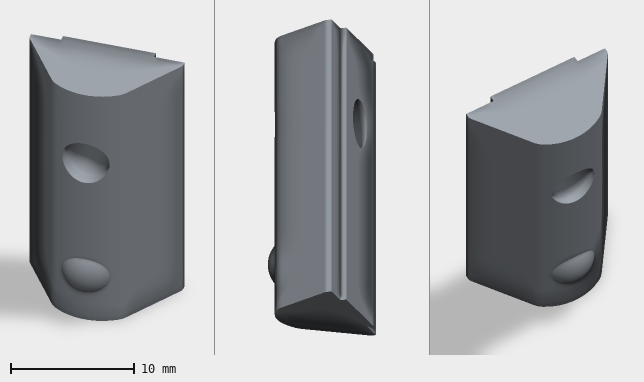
import cadquery as cq
import math

length = 23.0
width = 13.0
rail_width = 7.87
rail_height = 0.5
body_depth = 7.0
flank_start_depth = 1.0
flank_angle = math.radians(35)
nose_radius = 5.0
side_corner_radius = 0.5
nose_corner_radius = 2.0

hole_diameter = 4.0
hole_height = 16.0
overall_depth = 7.68
ball_radius = 2.4
ball_height = 4.5


def flank_nose_corner():
    """Return the point (half width, Y) where the flank line meets the nose circle."""
    nose_center_y = nose_radius - body_depth
    inward = -math.sin(flank_angle)
    forward = -math.cos(flank_angle)

    start_x = width / 2
    start_y = -flank_start_depth - nose_center_y
    along = start_x * inward + start_y * forward
    outside = start_x**2 + start_y**2 - nose_radius**2
    distance = -along + math.sqrt(along**2 - outside)
    return start_x + distance * inward, -flank_start_depth + distance * forward


def make_body():
    """Extrude the wedge with its back rail and round its four front corners."""
    half_width = width / 2
    half_rail = rail_width / 2
    nose_x, nose_y = flank_nose_corner()
    body = (
        cq.Workplane("XY")
        .moveTo(-half_rail, 0)
        .lineTo(half_rail, 0)
        .lineTo(half_rail, -rail_height)
        .lineTo(half_width, -rail_height)
        .lineTo(half_width, -flank_start_depth)
        .lineTo(nose_x, nose_y)
        .threePointArc((0, -body_depth), (-nose_x, nose_y))
        .lineTo(-half_width, -flank_start_depth)
        .lineTo(-half_width, -rail_height)
        .lineTo(-half_rail, -rail_height)
        .close()
        .extrude(length)
    )

    corners = (
        (half_width, -flank_start_depth, side_corner_radius),
        (nose_x, nose_y, nose_corner_radius),
    )
    for corner_x, corner_y, radius in corners:
        for side in (-1, 1):
            corner = (side * corner_x, corner_y, length / 2)
            body = body.edges(cq.NearestToPointSelector(corner)).fillet(radius)
    return body


def make_hole():
    """Return the cylinder that pierces the body along Y."""
    return (
        cq.Workplane("XZ")
        .center(0, hole_height)
        .circle(hole_diameter / 2)
        .extrude(overall_depth)
    )


def make_ball():
    """Return the ball whose tip stands proud of the nose."""
    ball_center = (0, ball_radius - overall_depth, ball_height)
    return cq.Workplane("XY").sphere(ball_radius).translate(ball_center)


result = make_body().cut(make_hole()).union(make_ball())